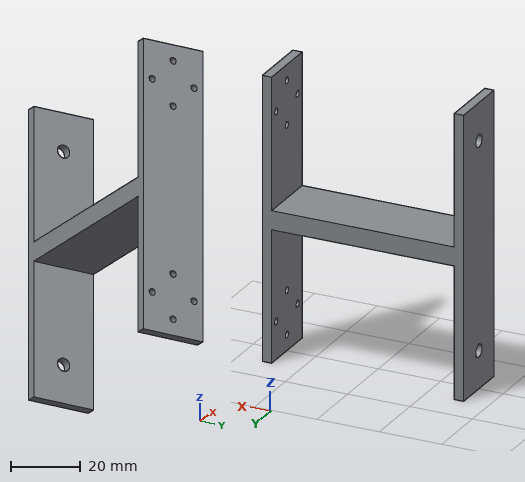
import cadquery as cq

LENGTH = 64.5
WIDTH = 20.0
HEIGHT = 90.0

PLATE_THICKNESS = 3.0
WEB_THICKNESS = 6.0

HOLE_CENTRE_HEIGHT = 33.0
PIVOT_HOLE_DIAMETER = 4.0
SCREW_HOLE_DIAMETER = 2.0
SCREW_CIRCLE_DIAMETER = 14.0
SCREW_COUNT = 4

PLATE_CENTRE_X = (LENGTH - PLATE_THICKNESS) / 2
HOLE_HEIGHTS = (-HOLE_CENTRE_HEIGHT, HOLE_CENTRE_HEIGHT)


def upright_plate(centre_x):
    """Upright plate spanning the full width and height."""
    return cq.Workplane("XY").box(PLATE_THICKNESS, WIDTH, HEIGHT).translate((centre_x, 0, 0))


def plate_face(centre_x, centre_z):
    """Sketch plane on the middle of a plate: local x is Y, local y is Z."""
    return cq.Workplane("YZ", origin=(centre_x, 0, centre_z))


def pivot_plate():
    """Left plate with one pivot hole near each end."""
    plate = upright_plate(-PLATE_CENTRE_X)
    for height in HOLE_HEIGHTS:
        hole = plate_face(-PLATE_CENTRE_X, height).circle(PIVOT_HOLE_DIAMETER / 2)
        plate = plate.cut(hole.extrude(PLATE_THICKNESS, both=True))
    return plate


def screw_plate():
    """Right plate with a ring of screw holes near each end."""
    plate = upright_plate(PLATE_CENTRE_X)
    for height in HOLE_HEIGHTS:
        holes = (
            plate_face(PLATE_CENTRE_X, height)
            .polarArray(SCREW_CIRCLE_DIAMETER / 2, 0, 360, SCREW_COUNT)
            .circle(SCREW_HOLE_DIAMETER / 2)
        )
        plate = plate.cut(holes.extrude(PLATE_THICKNESS, both=True))
    return plate


def web():
    """Horizontal web spanning the gap between the plates."""
    return cq.Workplane("XY").box(LENGTH - 2 * PLATE_THICKNESS, WIDTH, WEB_THICKNESS)


result = pivot_plate().union(web()).union(screw_plate())